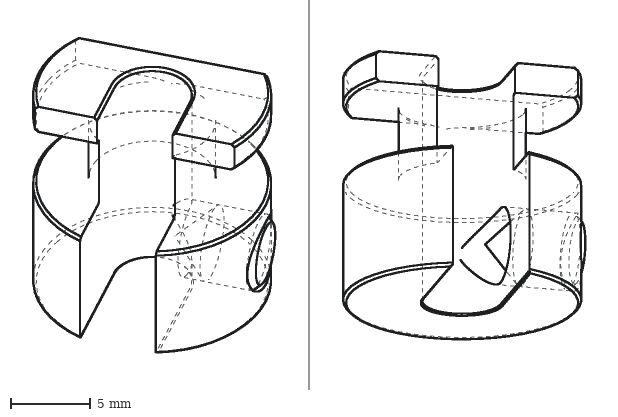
import cadquery as cq

outer_diameter = 15.0
total_height = 15.0
base_height = 8.01
head_thickness = 2.0
head_back_y = 4.0
head_front_y = -3.57
neck_diameter = 2 * head_back_y
slot_width = 5.0
edge_chamfer = 0.2
slot_foot_chamfer = 0.1
neck_fillet = 0.2

screw_diameter = 4.92
screw_height = base_height / 2
screw_tip_x = 1.5
screw_end_chamfer = 0.45

outer_radius = outer_diameter / 2
slot_end_y = -1.1 * outer_radius
neck_radius = neck_diameter / 2
slot_radius = slot_width / 2
screw_radius = screw_diameter / 2
head_bottom_z = total_height - head_thickness


def make_base():
    """Round base with chamfered rims."""
    base = cq.Workplane("XY").circle(outer_radius).extrude(base_height)
    return base.faces("<Z or >Z").chamfer(edge_chamfer)


def make_head():
    """Disc with chamfered rims, cut flat at the front and the back."""
    disc = (
        cq.Workplane("XY", origin=(0, 0, head_bottom_z))
        .circle(outer_radius)
        .extrude(head_thickness)
        .faces("<Z or >Z")
        .chamfer(edge_chamfer)
    )
    flats = (
        cq.Workplane("XY", origin=(0, (head_back_y + head_front_y) / 2, head_bottom_z))
        .rect(outer_diameter, head_back_y - head_front_y)
        .extrude(head_thickness)
    )
    return disc.intersect(flats)


def make_neck():
    """Revolved neck that flares with a fillet into the base and the head."""
    flare_radius = neck_radius + neck_fillet
    neck = (
        cq.Workplane("XZ")
        .moveTo(0, base_height)
        .lineTo(flare_radius, base_height)
        .radiusArc((neck_radius, base_height + neck_fillet), neck_fillet)
        .lineTo(neck_radius, head_bottom_z - neck_fillet)
        .radiusArc((flare_radius, head_bottom_z), neck_fillet)
        .lineTo(0, head_bottom_z)
        .close()
        .revolve(360, (0, 0, 0), (0, 1, 0))
    )
    behind_flat = (
        cq.Workplane("XY", origin=(0, head_back_y + neck_fillet, head_bottom_z - neck_fillet))
        .rect(neck_diameter, 2 * neck_fillet)
        .extrude(neck_fillet)
    )
    return neck.cut(behind_flat)


def slot_outline(radius, z):
    """U outline around the axis, open toward -Y."""
    return (
        cq.Workplane("XY", origin=(0, 0, z))
        .moveTo(-radius, slot_end_y)
        .lineTo(-radius, 0)
        .threePointArc((0, radius), (radius, 0))
        .lineTo(radius, slot_end_y)
        .close()
    )


def make_slot():
    """Full-height slot, widened by a chamfer at the head top and a smaller one at the base."""
    slot = slot_outline(slot_radius, 0).extrude(total_height)
    mouth = (
        slot_outline(slot_radius + edge_chamfer, total_height)
        .extrude(-edge_chamfer, taper=45)
    )
    foot = (
        slot_outline(slot_radius + slot_foot_chamfer, 0)
        .extrude(slot_foot_chamfer, taper=45)
    )
    return slot.union(mouth).union(foot)


def make_screw_hole():
    """Cross hole from the slot out through the +X side of the base."""
    return (
        cq.Workplane("YZ", origin=(0, 0, screw_height))
        .circle(screw_radius)
        .extrude(outer_radius)
    )


def make_holder():
    body = make_base().union(make_neck()).union(make_head())
    return body.cut(make_slot()).cut(make_screw_hole())


def make_set_screw():
    """Plain shank with a 90 degree cone point and a chamfered outer end."""
    return (
        cq.Workplane("XY", origin=(0, 0, screw_height))
        .moveTo(screw_tip_x, 0)
        .lineTo(screw_tip_x + screw_radius, screw_radius)
        .lineTo(outer_radius - screw_end_chamfer, screw_radius)
        .lineTo(outer_radius, screw_radius - screw_end_chamfer)
        .lineTo(outer_radius, 0)
        .close()
        .revolve(360, (0, 0, 0), (1, 0, 0))
    )


holder = make_holder()
set_screw = make_set_screw()
result = cq.Compound.makeCompound([holder.val(), set_screw.val()])